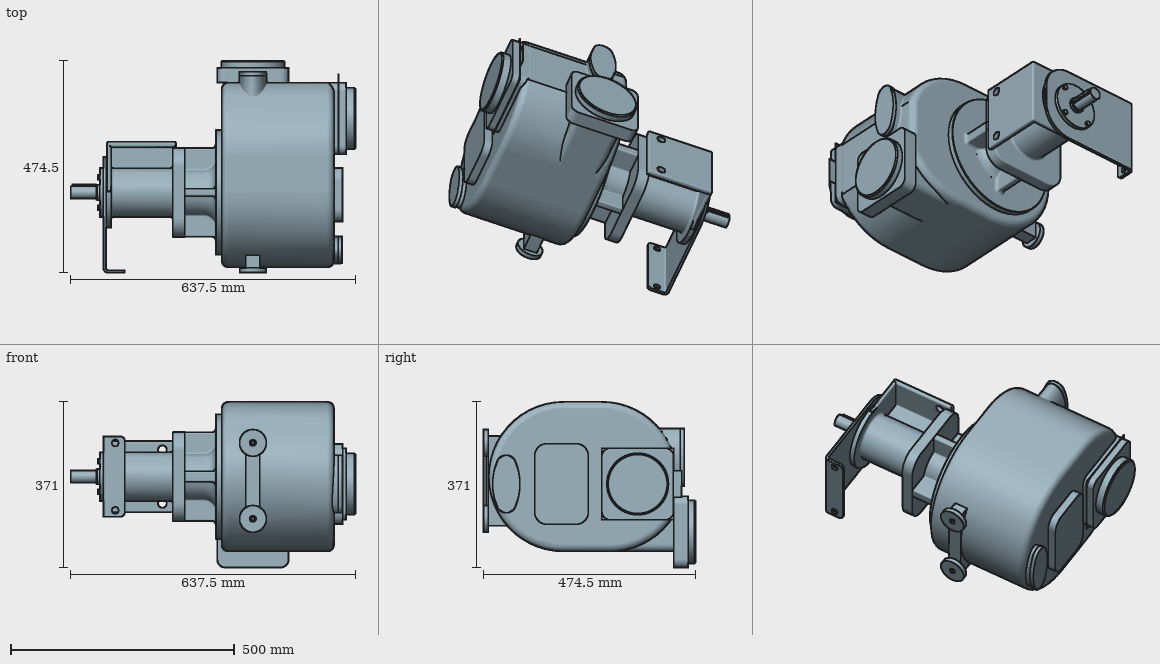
import cadquery as cq
import math


COLLAR_X = 58.0
SEAL_CAP_X = 65.7
STAND_X = 73.5
SUPPORT_X = 81.5
BARREL_X = 91.0
SQUARE_FLANGE_X = 228.5
HUB_X = 255.5
DISC_X = 324.5
CASING_X = 338.0
CASING_END_X = 589.5
PUMP_END_X = 637.5

SHAFT_DIA = 28.0
COLLAR_DIA = 35.0
COLLAR_CHAMFER = 1.5
KEY_START_X = 3.5
KEY_END_X = 56.0
KEY_WIDTH = 8.0
KEY_TOP = 18.0
SEAL_CAP_DIA = 110.0
CAP_BOLT_OFFSET = 34.0
CAP_BOLT_DIA = 11.0
CAP_BOLT_HEIGHT = 4.5

STAND_HEIGHT = 180.0
STAND_TOP_Y = 80.0
STAND_CORNER_R = 65.0
STAND_SHEET = 6.0
STAND_BEND_R = 10.0
STAND_FOOT_LENGTH = 48.0
STAND_FOOT_CORNER_R = 10.0
STAND_HOLE_DIA = 15.0
STAND_HOLE_Z = 75.2
STAND_HOLE_X = 100.0
FOOT_Y = -179.5

SUPPORT_R = 79.0
SUPPORT_HEIGHT = 160.0
GUARD_Y = 113.5
GUARD_THICK = 12.0
GUARD_END_X = 236.0
GUARD_ROUND = 4.0
GUARD_HOLE_DIA = 19.0
GUARD_HOLE_X = 205.5
GUARD_HOLE_Z = 60.0
WEB_THICK = 12.0
WEB_FILLET = 4.0
SEAT_R = 84.0
SEAT_DEPTH = 1.0
BARREL_DIA = 110.0
BARREL_FILLET = 5.0
SQUARE_FLANGE_SIZE = 200.0
SQUARE_FLANGE_CORNER_R = 40.0
SQUARE_FLANGE_ROUND = 3.0

HUB_R = 51.5
HUB_FLARE_R = 27.0
FLARE_SINK = 0.5
RIB_REACH = 99.5
RIB_FOOT_R = 8.0
RIB_ROOT_R = 4.0
RIB_ROUND = 4.0
UPRIGHT_RIB_THICK = 16.0
LEVEL_RIB_THICK = 24.0
DISC_DIA = 280.0
DISC_CHAMFER = 1.0

CASING_R = 167.5
CASING_TOP_ARC_Y = 85.5
CASING_BOTTOM_ARC_Y = 103.0
CASING_BACK_Y = 246.0
CASING_FILLET = 15.5

PORT_FLANGE_SIZE = 160.0
PORT_FLANGE_CORNER_R = 18.0
PORT_CHAMFER = 3.0
DISCHARGE_X = 408.0
DISCHARGE_Z = -123.5
DISCHARGE_FLANGE_Y = 278.5
DISCHARGE_END_Y = 295.0
DISCHARGE_SPIGOT_DIA = 142.0
NECK_TOP_Z = -60.0

SUCTION_Y = 165.5
SUCTION_Z = -16.5
SUCTION_FLANGE_X = 616.5
SUCTION_SPIGOT_DIA = 138.0
GASKET_X = 599.0
GASKET_THICK = 1.0
GASKET_MARGIN = 0.5
TAB_TOP_Y = 264.0
TAB_WIDTH = 60.0

OVAL_WIDTH = 61.0
OVAL_LENGTH = 129.0
OVAL_TIP_R = 22.5
OVAL_LIP = 9.0
FILL_PORT_FILLET = 3.0
FILL_Z = 43.5
FILL_END_Y = 270.0
DRAIN_Y = -128.5
DRAIN_END_X = 607.5

COVER_WIDTH = 120.0
COVER_HEIGHT = 180.0
COVER_CORNER_R = 27.0
COVER_Y = -5.0
COVER_END_X = 608.5

PAD_DIA = 60.0
PAD_Z = (75.5, -94.5)
PAD_THICK = 11.0
BAR_WIDTH = 31.0
BAR_TOP_Z = 91.0
BAR_BOTTOM_Z = -110.0
PAD_HOLE_DIA = 8.0
PAD_HOLE_MOUTH_DIA = 14.0
PAD_HOLE_DEPTH = 25.0

OVERLAP = 2.0


def across_x(x, y=0.0, z=0.0):
    """Sketch plane facing +X, with Y and Z as its axes."""
    return cq.Workplane("YZ", origin=(x, y, z))


def across_y(x, y, z):
    """Sketch plane facing -Y, with X and Z as its axes."""
    return cq.Workplane("XZ", origin=(x, y, z))


def block(x_range, y_range, z_range):
    (x0, x1), (y0, y1), (z0, z1) = x_range, y_range, z_range
    return cq.Workplane("XY").box(x1 - x0, y1 - y0, z1 - z0, centered=False).translate((x0, y0, z0))


def rod(start_x, end_x, diameter, y=0.0, z=0.0):
    return across_x(start_x, y, z).circle(diameter / 2).extrude(end_x - start_x)


def make_shaft():
    shaft = rod(0, SUPPORT_X, SHAFT_DIA)
    collar = rod(COLLAR_X, STAND_X, COLLAR_DIA).faces("<X").chamfer(COLLAR_CHAMFER)
    key = block((KEY_START_X, KEY_END_X), (0, KEY_TOP), (-KEY_WIDTH / 2, KEY_WIDTH / 2))
    cap = rod(SEAL_CAP_X, STAND_X + OVERLAP, SEAL_CAP_DIA)
    bolts = (
        across_x(SEAL_CAP_X - CAP_BOLT_HEIGHT)
        .rect(2 * CAP_BOLT_OFFSET, 2 * CAP_BOLT_OFFSET, forConstruction=True)
        .vertices()
        .circle(CAP_BOLT_DIA / 2)
        .extrude(CAP_BOLT_HEIGHT + OVERLAP)
    )
    return shaft.union(key).union(collar).union(cap).union(bolts)


def make_stand():
    """Upright sheet with two large corners, bent to a foot at its -Y edge."""
    half = STAND_HEIGHT / 2
    foot_end = STAND_X + STAND_FOOT_LENGTH
    upright = block((STAND_X, STAND_X + STAND_SHEET), (FOOT_Y, STAND_TOP_Y), (-half, half))
    upright = upright.edges("|X and >Y").fillet(STAND_CORNER_R)
    foot = block((STAND_X, foot_end), (FOOT_Y, FOOT_Y + STAND_SHEET), (-half, half))
    foot = foot.edges("|Y and >X").fillet(STAND_FOOT_CORNER_R)
    stand = upright.union(foot).edges("|Z and <X and <Y").fillet(STAND_BEND_R)
    inner_corner = cq.selectors.NearestToPointSelector((STAND_X + STAND_SHEET, FOOT_Y + STAND_SHEET, 0))
    stand = stand.edges(inner_corner).fillet(STAND_BEND_R - STAND_SHEET)
    holes = (
        across_y(STAND_HOLE_X, FOOT_Y, 0)
        .pushPoints([(0, STAND_HOLE_Z), (0, -STAND_HOLE_Z)])
        .circle(STAND_HOLE_DIA / 2)
        .extrude(-STAND_SHEET)
    )
    return stand.cut(holes)


def make_web(wall_y):
    """Level web from the barrel to the guard wall, widening in fillets at the wall."""
    half = WEB_THICK / 2
    web = block((BARREL_X - OVERLAP, SQUARE_FLANGE_X + OVERLAP), (0, wall_y), (-half, half))
    base_half = half + 2 * WEB_FILLET
    base = block(
        (BARREL_X - OVERLAP, SQUARE_FLANGE_X + OVERLAP),
        (wall_y, wall_y + OVERLAP),
        (-base_half, base_half),
    )
    wall_edges = cq.selectors.BoxSelector(
        (BARREL_X, wall_y - 1, -half - 1), (SQUARE_FLANGE_X, wall_y + 1, half + 1)
    )
    return web.union(base).edges(wall_edges).fillet(WEB_FILLET)


def make_support():
    """Bearing plate, barrel and square flange, with a guard wall on the +Y side."""
    half = SUPPORT_HEIGHT / 2
    wall_y = GUARD_Y - GUARD_THICK
    plate = rod(SUPPORT_X - OVERLAP, BARREL_X, 2 * SUPPORT_R)
    arm = block((SUPPORT_X, BARREL_X), (0, GUARD_Y), (-half, half))
    wall = block((SUPPORT_X, GUARD_END_X), (wall_y, GUARD_Y), (-half, half))
    seat = rod(SUPPORT_X, SUPPORT_X + SEAT_DEPTH, 2 * SEAT_R)
    guard = arm.union(wall).faces(">Y or >Z or <Z").edges().fillet(GUARD_ROUND).cut(seat)
    holes = (
        across_y(GUARD_HOLE_X, wall_y, 0)
        .pushPoints([(0, GUARD_HOLE_Z), (0, -GUARD_HOLE_Z)])
        .circle(GUARD_HOLE_DIA / 2)
        .extrude(-GUARD_THICK)
    )
    web = make_web(wall_y)
    flange = (
        across_x(SQUARE_FLANGE_X)
        .rect(SQUARE_FLANGE_SIZE, SQUARE_FLANGE_SIZE)
        .extrude(HUB_X - SQUARE_FLANGE_X)
        .edges("|X")
        .fillet(SQUARE_FLANGE_CORNER_R)
        .faces("<X")
        .edges()
        .fillet(SQUARE_FLANGE_ROUND)
    )
    barrel_r = BARREL_DIA / 2
    sweep = BARREL_FILLET * (1 - math.sqrt(0.5))
    barrel = (
        cq.Workplane("XY")
        .moveTo(BARREL_X - OVERLAP, 0)
        .lineTo(BARREL_X - OVERLAP, barrel_r + BARREL_FILLET)
        .lineTo(BARREL_X, barrel_r + BARREL_FILLET)
        .threePointArc((BARREL_X + sweep, barrel_r + sweep), (BARREL_X + BARREL_FILLET, barrel_r))
        .lineTo(SQUARE_FLANGE_X - BARREL_FILLET, barrel_r)
        .threePointArc(
            (SQUARE_FLANGE_X - sweep, barrel_r + sweep), (SQUARE_FLANGE_X, barrel_r + BARREL_FILLET)
        )
        .lineTo(SQUARE_FLANGE_X + OVERLAP, barrel_r + BARREL_FILLET)
        .lineTo(SQUARE_FLANGE_X + OVERLAP, 0)
        .close()
        .revolve(360, (0, 0, 0), (1, 0, 0))
    )
    return plate.union(guard.cut(holes)).union(web).union(flange).union(barrel)


def make_hub_core():
    """Round hub, flaring out where it meets the disc; the tip of the flare sinks into the disc."""
    sweep = HUB_FLARE_R * (1 - math.sqrt(0.5))
    flare_x = DISC_X + FLARE_SINK
    return (
        cq.Workplane("XY")
        .moveTo(HUB_X - OVERLAP, 0)
        .lineTo(HUB_X - OVERLAP, HUB_R)
        .lineTo(flare_x - HUB_FLARE_R, HUB_R)
        .threePointArc((flare_x - sweep, HUB_R + sweep), (flare_x, HUB_R + HUB_FLARE_R))
        .lineTo(flare_x, 0)
        .close()
        .revolve(360, (0, 0, 0), (1, 0, 0))
    )


def make_rib(thickness):
    """Rib reaching up from the shaft axis, blended into a thin base buried in the disc."""
    half = thickness / 2
    rib = block((HUB_X - OVERLAP, DISC_X), (-half, half), (0, RIB_REACH))
    rib = rib.edges("|X and >Z").fillet(RIB_ROUND)
    base_half = half + 2 * RIB_FOOT_R
    base = block((DISC_X, DISC_X + OVERLAP), (-base_half, base_half), (0, RIB_REACH + 2 * RIB_FOOT_R))
    foot_edges = cq.selectors.BoxSelector(
        (DISC_X - 1, -half - 1, 1), (DISC_X + 1, half + 1, RIB_REACH + 1)
    )
    return rib.union(base).edges(foot_edges).fillet(RIB_FOOT_R)


def make_hub():
    hub = make_hub_core()
    for turn in range(4):
        thickness = UPRIGHT_RIB_THICK if turn % 2 == 0 else LEVEL_RIB_THICK
        hub = hub.union(make_rib(thickness).rotate((0, 0, 0), (1, 0, 0), 90 * turn))
    root_edges = cq.selectors.BoxSelector(
        (HUB_X, -HUB_R - 1, -HUB_R - 1), (DISC_X - HUB_FLARE_R - 1, HUB_R + 1, HUB_R + 1)
    )
    hub = hub.edges(root_edges).edges("|X").fillet(RIB_ROOT_R)
    disc = rod(DISC_X, CASING_X + OVERLAP, DISC_DIA).faces("<X").edges().chamfer(DISC_CHAMFER)
    return hub.union(disc)


def make_casing():
    """Round-bodied casing, flat on its +Y side, with a square neck below for the discharge."""
    diagonal = CASING_R * math.sqrt(0.5)
    flat_top_z = math.sqrt(CASING_R**2 - (CASING_BACK_Y - CASING_TOP_ARC_Y) ** 2)
    flat_bottom_z = -math.sqrt(CASING_R**2 - (CASING_BACK_Y - CASING_BOTTOM_ARC_Y) ** 2)
    body = (
        across_x(CASING_X)
        .moveTo(0, CASING_R)
        .lineTo(CASING_TOP_ARC_Y, CASING_R)
        .threePointArc((CASING_TOP_ARC_Y + diagonal, diagonal), (CASING_BACK_Y, flat_top_z))
        .lineTo(CASING_BACK_Y, flat_bottom_z)
        .threePointArc((CASING_BOTTOM_ARC_Y + diagonal, -diagonal), (CASING_BOTTOM_ARC_Y, -CASING_R))
        .lineTo(0, -CASING_R)
        .threePointArc((-CASING_R, 0), (0, CASING_R))
        .close()
        .extrude(CASING_END_X - CASING_X)
        .faces("<X or >X")
        .edges()
        .fillet(CASING_FILLET)
    )
    neck_start_x = CASING_X + CASING_FILLET
    neck_end_x = 2 * DISCHARGE_X - neck_start_x
    neck = block(
        (neck_start_x, neck_end_x),
        (CASING_BOTTOM_ARC_Y, CASING_BACK_Y + OVERLAP),
        (-CASING_R, NECK_TOP_Z),
    )
    neck = neck.edges("|Y and <Z").fillet(CASING_FILLET)
    return body.union(neck)


def make_discharge():
    flange = (
        across_y(DISCHARGE_X, CASING_BACK_Y, DISCHARGE_Z)
        .rect(PORT_FLANGE_SIZE, PORT_FLANGE_SIZE)
        .extrude(CASING_BACK_Y - DISCHARGE_FLANGE_Y)
        .edges("|Y")
        .fillet(PORT_FLANGE_CORNER_R)
    )
    spigot = (
        across_y(DISCHARGE_X, CASING_BACK_Y, DISCHARGE_Z)
        .circle(DISCHARGE_SPIGOT_DIA / 2)
        .extrude(CASING_BACK_Y - DISCHARGE_END_Y)
        .faces(">Y")
        .edges()
        .chamfer(PORT_CHAMFER)
    )
    return flange.union(spigot)


def make_suction():
    start_x = CASING_END_X - CASING_FILLET
    half = PORT_FLANGE_SIZE / 2
    flange = (
        across_x(start_x, SUCTION_Y, SUCTION_Z)
        .rect(PORT_FLANGE_SIZE, PORT_FLANGE_SIZE)
        .extrude(SUCTION_FLANGE_X - start_x)
        .edges("|X")
        .fillet(PORT_FLANGE_CORNER_R)
    )
    spigot = rod(start_x, PUMP_END_X, SUCTION_SPIGOT_DIA, SUCTION_Y, SUCTION_Z)
    spigot = spigot.faces(">X").edges().chamfer(PORT_CHAMFER)
    gasket_half = half + GASKET_MARGIN
    gasket_end_x = GASKET_X + GASKET_THICK
    gasket = block(
        (GASKET_X, gasket_end_x),
        (SUCTION_Y - gasket_half, SUCTION_Y + gasket_half),
        (SUCTION_Z - gasket_half, SUCTION_Z + gasket_half),
    )
    tab = block(
        (GASKET_X, gasket_end_x),
        (SUCTION_Y, TAB_TOP_Y),
        (SUCTION_Z - TAB_WIDTH / 2, SUCTION_Z + TAB_WIDTH / 2),
    )
    return flange.union(spigot).union(gasket).union(tab)


def oval(plane):
    """Upright oval of four tangent arcs, two at the tips and two along the sides."""
    half_width = OVAL_WIDTH / 2
    half_length = OVAL_LENGTH / 2
    tip_centre = half_length - OVAL_TIP_R
    side_r = (half_width**2 + tip_centre**2 - OVAL_TIP_R**2) / (2 * (half_width - OVAL_TIP_R))
    reach = OVAL_TIP_R / (side_r - OVAL_TIP_R)
    joint_x = (side_r - half_width) * reach
    joint_z = tip_centre * (1 + reach)
    return (
        plane.moveTo(joint_x, -joint_z)
        .threePointArc((half_width, 0), (joint_x, joint_z))
        .threePointArc((0, half_length), (-joint_x, joint_z))
        .threePointArc((-half_width, 0), (-joint_x, -joint_z))
        .threePointArc((0, -half_length), (joint_x, -joint_z))
        .close()
    )


def make_fill_port():
    """Elliptical stub ending in an oval lip."""
    start_y = CASING_TOP_ARC_Y + CASING_R / 2
    lip_y = FILL_END_Y - OVAL_LIP
    stub = (
        across_y(DISCHARGE_X, start_y, FILL_Z)
        .ellipse(OVAL_WIDTH / 2, OVAL_LENGTH / 2)
        .extrude(start_y - lip_y)
    )
    return stub.union(oval(across_y(DISCHARGE_X, lip_y, FILL_Z)).extrude(-OVAL_LIP))


def make_drain_port():
    """Elliptical stub ending in an oval lip."""
    start_x = CASING_END_X - 2 * CASING_FILLET
    lip_x = DRAIN_END_X - OVAL_LIP
    stub = (
        across_x(start_x, DRAIN_Y, SUCTION_Z)
        .ellipse(OVAL_WIDTH / 2, OVAL_LENGTH / 2)
        .extrude(lip_x - start_x)
    )
    return stub.union(oval(across_x(lip_x, DRAIN_Y, SUCTION_Z)).extrude(OVAL_LIP))


def make_cover():
    return (
        across_x(CASING_END_X - OVERLAP, COVER_Y, SUCTION_Z)
        .rect(COVER_WIDTH, COVER_HEIGHT)
        .extrude(COVER_END_X - CASING_END_X + OVERLAP)
        .edges("|X")
        .fillet(COVER_CORNER_R)
    )


def make_feet():
    pad_back_y = FOOT_Y + PAD_THICK
    half = BAR_WIDTH / 2
    feet = block(
        (DISCHARGE_X - half, DISCHARGE_X + half),
        (pad_back_y, 0),
        (BAR_BOTTOM_Z, BAR_TOP_Z),
    )
    for z in PAD_Z:
        feet = feet.union(across_y(DISCHARGE_X, FOOT_Y, z).circle(PAD_DIA / 2).extrude(-PAD_THICK))
    return feet


def make_foot_holes():
    """Blind holes with a countersunk mouth, one at the middle of each pad."""
    mouth_r = PAD_HOLE_MOUTH_DIA / 2
    hole_r = PAD_HOLE_DIA / 2
    profile = (
        cq.Workplane("XY")
        .polyline([
            (0, FOOT_Y),
            (mouth_r, FOOT_Y),
            (hole_r, FOOT_Y + mouth_r - hole_r),
            (hole_r, FOOT_Y + PAD_HOLE_DEPTH),
            (0, FOOT_Y + PAD_HOLE_DEPTH),
        ])
        .close()
    )
    hole = profile.revolve(360, (0, 0, 0), (0, 1, 0))
    upper_z, lower_z = PAD_Z
    return hole.translate((DISCHARGE_X, 0, upper_z)).union(hole.translate((DISCHARGE_X, 0, lower_z)))


def make_casing_with_fill_port():
    """Casing and filling stub, blended by a fillet where they meet."""
    casing = make_casing().union(make_fill_port())
    half_width = OVAL_WIDTH / 2 + 1
    half_length = OVAL_LENGTH / 2
    seam = cq.selectors.BoxSelector(
        (DISCHARGE_X - half_width, CASING_TOP_ARC_Y, FILL_Z - half_length),
        (DISCHARGE_X + half_width, CASING_BACK_Y + 1, FILL_Z + half_length - 1),
    )
    return casing.edges(seam).fillet(FILL_PORT_FILLET)


result = make_casing_with_fill_port()
for piece in (
    make_discharge(),
    make_suction(),
    make_drain_port(),
    make_cover(),
    make_feet(),
    make_hub(),
    make_support(),
    make_stand(),
    make_shaft(),
):
    result = result.union(piece)
result = result.cut(make_foot_holes())